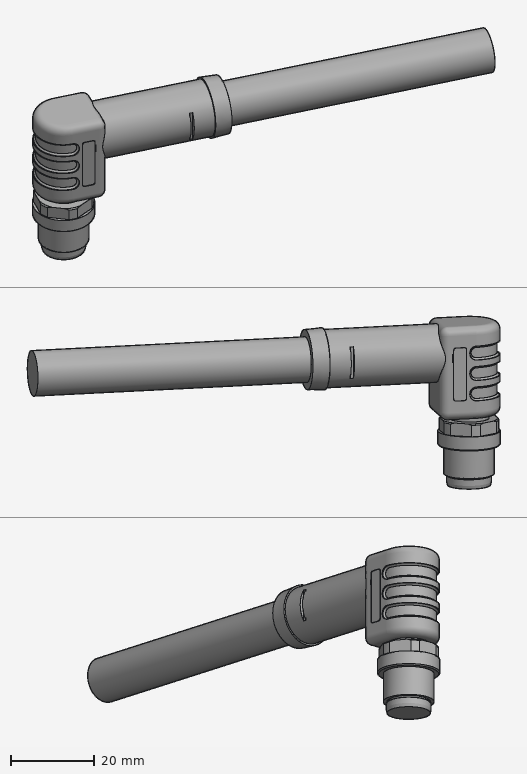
import cadquery as cq
import math

overall_height = 40.2
collar_diameter = 15.0
cable_axis_z = overall_height - collar_diameter / 2

cable_diameter = 11.0
cable_end_y = 107.56

collar_front_y = 36.0
collar_back_y = 40.2
collar_small_diameter = 14.5

sleeve_diameter = 14.1
sleeve_front_y = 5.8
notch_y = 30.3
notch_width = 0.8
notch_depth = 1.15

housing_bottom_z = 17.4
housing_top_z = 40.1
housing_height = housing_top_z - housing_bottom_z
nose_radius = 7.25
nose_centre_y = -0.2
housing_back_y = 8.5
housing_round = 1.9

grip_count = 3
grip_pitch = 5.0
grip_middle_z = 28.75
grip_width = 3.4
grip_depth = 0.7
grip_floor_chamfer = 0.45

panel_front_y = 2.3
panel_back_y = 5.5
panel_middle_z = grip_middle_z
panel_height = 13.0
panel_depth = 0.15
panel_corner_radius = 0.6

hex_across_flats = 13.5
hex_corner_diameter = 14.5
hex_top_z = 16.4
hex_chamfer = 0.3
flange_diameter = 15.0
flange_top_z = 13.3
flange_bottom_z = 9.8
flange_chamfer = 0.3
thread_diameter = 12.2
thread_bottom_z = 2.8

neck_diameter = 9.7
neck_depth_in_housing = 2.0
tip_diameter = 10.8
tip_top_z = 2.35
tip_groove_diameter = 10.5
tip_chamfer_height = 0.8
tip_chamfer_width = 0.2


def cylinder_along_y(diameter, start_y, end_y):
    """Cylinder on the cable axis."""
    plane = cq.Plane(origin=(0, start_y, cable_axis_z), xDir=(-1, 0, 0), normal=(0, 1, 0))
    return cq.Workplane(plane).circle(diameter / 2).extrude(end_y - start_y)


def cylinder_along_z(diameter, bottom_z, top_z):
    """Cylinder on the plug axis."""
    return cq.Workplane("XY").workplane(offset=bottom_z).circle(diameter / 2).extrude(top_z - bottom_z)


def build_cable():
    """Round cable running back from the front end of the sleeve."""
    return cylinder_along_y(cable_diameter, sleeve_front_y, cable_end_y)


def build_collar():
    """Ring that widens toward the sleeve."""
    plane = cq.Plane(origin=(0, collar_front_y, cable_axis_z), xDir=(-1, 0, 0), normal=(0, 1, 0))
    cone = (
        cq.Workplane(plane)
        .circle(collar_diameter / 2)
        .workplane(offset=collar_back_y - collar_front_y)
        .circle(collar_small_diameter / 2)
        .loft()
    )
    return cone.cut(cylinder_along_y(cable_diameter, collar_front_y, collar_back_y))


def build_sleeve():
    """Tube over the cable with a straight notch cut into each side."""
    sleeve = cylinder_along_y(sleeve_diameter, sleeve_front_y, collar_front_y)
    sleeve = sleeve.cut(cylinder_along_y(cable_diameter, sleeve_front_y, collar_front_y))
    for side in (-1, 1):
        notch = cq.Workplane("XY").box(2 * notch_depth, notch_width, sleeve_diameter)
        sleeve = sleeve.cut(notch.translate((side * sleeve_diameter / 2, notch_y, cable_axis_z)))
    return sleeve


def housing_prism(inset):
    """Round-nosed column whose walls sit the given inset inside the housing walls."""
    radius = nose_radius - inset
    return (
        cq.Workplane("XY", origin=(0, 0, housing_bottom_z))
        .moveTo(-radius, nose_centre_y)
        .threePointArc((0, nose_centre_y - radius), (radius, nose_centre_y))
        .lineTo(radius, housing_back_y)
        .lineTo(-radius, housing_back_y)
        .close()
        .extrude(housing_height)
    )


def grip_cutter(middle_z):
    """Bar with a rounded back end, wrapped around the nose, with its floor edges chamfered."""
    margin = 1.0
    reach = nose_radius + margin
    bar = (
        cq.Workplane("YZ", origin=(-reach, nose_centre_y - reach, middle_z))
        .slot2D(2 * reach + grip_width, grip_width)
        .extrude(2 * reach)
    )
    cutter = bar.cut(housing_prism(grip_depth))
    floor_reach = nose_radius - grip_depth / 2
    floor_box = cq.selectors.BoxSelector(
        (-floor_reach, nose_centre_y - floor_reach, housing_bottom_z),
        (floor_reach, housing_back_y, housing_top_z),
        boundingbox=True,
    )
    return cutter.edges(floor_box).chamfer(grip_floor_chamfer)


def panel_cutter(side):
    """Shallow rectangular recess with rounded corners in one side wall."""
    middle_y = (panel_front_y + panel_back_y) / 2
    panel = cq.Workplane("XY").box(2 * panel_depth, panel_back_y - panel_front_y, panel_height)
    panel = panel.edges("|X").fillet(panel_corner_radius)
    return panel.translate((side * nose_radius, middle_y, panel_middle_z))


def build_housing(insert):
    """Angled block with grip grooves, side panels and sockets for the sleeve and the insert."""
    housing = housing_prism(0)
    housing = housing.faces(">Y or <Z or >Z").edges().fillet(housing_round)
    for index in range(grip_count):
        offset = index - (grip_count - 1) / 2
        housing = housing.cut(grip_cutter(grip_middle_z + offset * grip_pitch))
    for side in (-1, 1):
        housing = housing.cut(panel_cutter(side))
    housing = housing.cut(cylinder_along_y(sleeve_diameter, sleeve_front_y, collar_front_y))
    return housing.cut(insert)


def build_nut():
    """Threaded coupling nut: hexagon, round flange and thread cylinder with one through bore."""
    hex_height = hex_top_z - flange_top_z
    hexagon = (
        cq.Workplane("XY", origin=(0, 0, flange_top_z))
        .polygon(6, hex_across_flats / math.cos(math.pi / 6))
        .extrude(hex_height)
    )
    limit = cylinder_along_z(hex_corner_diameter, flange_top_z, hex_top_z).faces(">Z").chamfer(hex_chamfer)
    flange = cylinder_along_z(flange_diameter, flange_bottom_z, flange_top_z)
    flange = flange.faces("<Z").chamfer(flange_chamfer)
    thread = cylinder_along_z(thread_diameter, thread_bottom_z, flange_bottom_z)
    nut = hexagon.intersect(limit).union(flange).union(thread)
    return nut.cut(cylinder_along_z(neck_diameter, thread_bottom_z, hex_top_z))


def build_insert():
    """Contact insert: a neck from the housing through the nut, with a wider grooved tip below the nut."""
    neck = cylinder_along_z(neck_diameter, 0, housing_bottom_z + neck_depth_in_housing)
    groove = cylinder_along_z(tip_groove_diameter, tip_top_z, thread_bottom_z)
    tip = cylinder_along_z(tip_diameter, 0, tip_top_z)
    tip = tip.faces("<Z").chamfer(tip_chamfer_height, tip_chamfer_width)
    return neck.union(groove).union(tip)


cable = build_cable()
collar = build_collar()
sleeve = build_sleeve()
nut = build_nut()
insert = build_insert()
housing = build_housing(insert)

result = cq.Compound.makeCompound(
    [cable.val(), collar.val(), sleeve.val(), housing.val(), nut.val(), insert.val()]
)